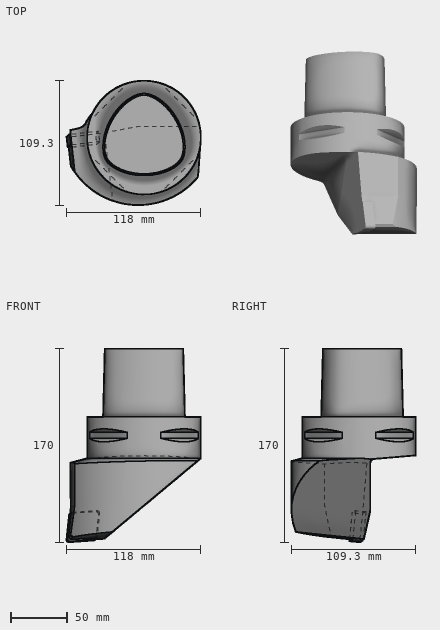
import cadquery as cq
import math


shank_height = 60.0
shank_base_radius = 36.0
shank_taper = 1 / 40
shank_top_radius = shank_base_radius - shank_height * shank_taper
lobe_size = 2.7
lobe_points = 72

flange_radius = 100.0 / 2
flange_bottom = -36.2
groove_floor_distance = 44.2
groove_floor_height = 5.1
groove_mouth_height = 11.4
groove_z = -16.1
groove_count = 4
groove_start_angle = 45

shoulder_slope = 0.27
shoulder_radius = 85.0
head_bottom = -119.0
back_radius = 68.0
back_center_x = -5.1
back_center_y = 8.7
side_upper = (-64.8, 6.8)
side_lower = (-60.7, -30.0)
back_start_y = -18.7
back_start_x = back_center_x - math.sqrt(back_radius**2 - (back_center_y - back_start_y) ** 2)
plan_left = -76.5
heel = (47.6, -34.3)
relief_angle = 39.8
toe_x = -34.8
toe_z = -107.0
lower_wall_top = (-64.3, 2.5, -79.4)
wall_line_rise = 0.1
lower_wall_lean = 0.115

end_point = (-64.6, -23.8, -105.9)
wall_end_edge = (-68.8, 11.9, -108.8)
end_chamfer = 2.0
end_slope_x = 0.054
end_slope_y = -0.097

nose_tip = (-68.3, 0.3, -110.2)
rake_slope_x = 0.115
rake_slope_z = 0.085
recess_wall_y = 10.0
recess_roof_z = -38.0
recess_roof_slope = 0.085
recess_fillet = 3.4

insert_edge = 26.0
insert_angle = 80
insert_tilt = 6.0
insert_thickness = 9.2
insert_nose_radius = 2.4

big = 340.0


def half_space(point, normal, along=(1, 0, 0)):
    """Large block that fills the side of a plane its normal points to."""
    plane = cq.Plane(origin=point, xDir=along, normal=normal)
    return cq.Workplane(plane).rect(big, big).extrude(big)


def lobed_outline(mean_radius, height):
    points = []
    for index in range(lobe_points):
        angle = 2 * math.pi * index / lobe_points
        support = mean_radius + lobe_size * math.cos(3 * angle)
        slope = -3 * lobe_size * math.sin(3 * angle)
        x = -support * math.sin(angle) - slope * math.cos(angle)
        y = support * math.cos(angle) - slope * math.sin(angle)
        points.append(cq.Vector(x, y, height))
    return cq.Wire.assembleEdges([cq.Edge.makeSpline(points, periodic=True)])


def make_shank():
    base = lobed_outline(shank_base_radius, 0)
    top = lobed_outline(shank_top_radius, shank_height)
    return cq.Workplane(obj=cq.Solid.makeLoft([base, top], True))


def make_groove(angle):
    """Tangential trapezoid groove, widening outward."""
    depth = flange_radius - groove_floor_distance
    flare = (groove_mouth_height - groove_floor_height) / 2 / depth
    reach = 2 * depth
    half_floor = groove_floor_height / 2
    half_end = half_floor + flare * reach
    inner = groove_floor_distance
    outer = inner + reach
    return (
        cq.Workplane("XZ")
        .polyline([
            (inner, groove_z - half_floor),
            (outer, groove_z - half_end),
            (outer, groove_z + half_end),
            (inner, groove_z + half_floor),
        ])
        .close()
        .extrude(flange_radius, both=True)
        .rotate((0, 0, 0), (0, 0, 1), angle)
    )


def make_flange():
    flange = cq.Workplane("XY").circle(flange_radius).extrude(flange_bottom)
    for index in range(groove_count):
        flange = flange.cut(make_groove(groove_start_angle + index * 360 / groove_count))
    return flange


def make_shoulder_limit():
    """Cone-topped blank that slopes away from the flange."""
    shoulder_z = flange_bottom - shoulder_slope * (shoulder_radius - flange_radius)
    return (
        cq.Workplane("XZ")
        .polyline([
            (0, head_bottom),
            (shoulder_radius, head_bottom),
            (shoulder_radius, shoulder_z),
            (flange_radius, flange_bottom),
            (0, flange_bottom),
        ])
        .close()
        .revolve(360, (0, 0, 0), (0, 1, 0))
    )


def make_side_walls():
    """Room inside the vertical upper side wall and the outward-leaning lower one."""
    wall_slope = (side_lower[0] - side_upper[0]) / (side_lower[1] - side_upper[1])
    upper = half_space((*side_upper, 0), (1, -wall_slope, 0), (0, 0, 1))
    lower_normal = (1, -wall_slope - lower_wall_lean * wall_line_rise, -lower_wall_lean)
    lower = half_space(lower_wall_top, lower_normal, (0, 0, 1))
    return upper.union(lower)


def make_head():
    flange_diagonal = flange_radius * math.sqrt(0.5)
    outline = (
        cq.Workplane("XY", origin=(0, 0, head_bottom))
        .moveTo(back_start_x, back_start_y)
        .threePointArc((back_center_x, back_center_y - back_radius), heel)
        .lineTo(flange_radius, 0)
        .threePointArc((flange_diagonal, flange_diagonal), (0, flange_radius))
        .lineTo(plan_left, flange_radius)
        .close()
        .extrude(flange_bottom - head_bottom)
    )
    relief = math.radians(relief_angle)
    relief_normal = (-math.sin(relief), 0, math.cos(relief))
    above_relief = half_space((toe_x, 0, toe_z), relief_normal, (0, 1, 0))
    above_end = half_space(end_point, (-end_slope_x, -end_slope_y, 1))
    head = (
        outline.intersect(make_shoulder_limit())
        .intersect(make_side_walls())
        .intersect(above_relief)
        .intersect(above_end)
    )
    return head.edges(cq.selectors.NearestToPointSelector(wall_end_edge)).chamfer(end_chamfer)


rake_normal = cq.Vector(-rake_slope_x, 1, -rake_slope_z).normalized()


def make_recess():
    """Open space in front of the rake face, below a sloping roof."""
    recess = half_space((0, recess_wall_y, 0), (0, 1, 0)).union(half_space(nose_tip, rake_normal))
    roof_normal = cq.Vector(0, recess_roof_slope, -1)
    roof_point = cq.Vector(0, 0, recess_roof_z)
    recess = recess.intersect(half_space(roof_point.toTuple(), roof_normal.toTuple()))
    outer_side = 0.49 * big
    roof = recess.faces(">Z").val()
    root_edges = [
        edge for edge in roof.Edges()
        if abs(edge.Center().x) < outer_side and edge.Center().y < outer_side / 2
    ]
    return recess.newObject(root_edges).fillet(recess_fillet)


def make_insert():
    """Rhombic plate whose rake face lies in the rake plane."""
    tilt = math.radians(insert_tilt)
    side_x = math.sin(tilt)
    side_z = math.cos(tilt)
    end_angle = math.radians(90 - insert_tilt - insert_angle)
    end_x = math.cos(end_angle)
    end_z = math.sin(end_angle)
    side = cq.Vector(side_x, rake_slope_x * side_x + rake_slope_z * side_z, side_z).normalized()
    end = cq.Vector(end_x, rake_slope_x * end_x + rake_slope_z * end_z, end_z).normalized()
    tip = cq.Vector(*nose_tip)
    corners = [
        tip,
        tip + end * insert_edge,
        tip + (end + side) * insert_edge,
        tip + side * insert_edge,
    ]
    rake_face = cq.Face.makeFromWires(cq.Wire.makePolygon(corners, close=True))
    plate = cq.Solid.extrudeLinear(rake_face, rake_normal * -insert_thickness)
    corner_edges = cq.selectors.ParallelDirSelector(rake_normal)
    return cq.Workplane(obj=plate).edges(corner_edges).fillet(insert_nose_radius)


insert = make_insert()
holder = make_shank().union(make_flange()).union(make_head()).cut(make_recess()).cut(insert)

result = cq.Compound.makeCompound([holder.val(), insert.val()])